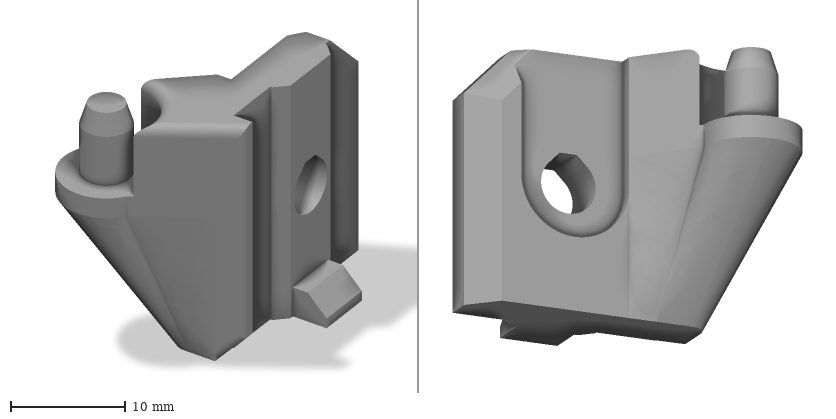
import cadquery as cq
import math

HEIGHT = 24.0

PLATE_FRONT = 5.47
PLATE_BACK = 10.45
PLATE_START = 9.25
PLATE_END = 24.0
EDGE_CHAMFER = 2.5
TOP_CHAMFER = 4.5

POCKET_DEPTH = 1.45
POCKET_RADIUS = 5.2
POCKET_Y = PLATE_START + POCKET_RADIUS
HOLE_Z = 11.97
HOLE_RADIUS = 2.62
TEARDROP_RISE = 2.88

RAIL_BACK = 11.83
RAIL_HALF_WIDTH = 4.28
RAIL_STEP = 0.23
LATCH_END = 15.4
LATCH_HEIGHT = 3.0
LATCH_CHAMFER = 2
LATCH_WIDTH = 5.53

SEAT_RADIUS = 4.5
SEAT_TOP = 16.87
SEAT_BOTTOM = 14.85
PIN_RADIUS = 2.4
PIN_TIP_RADIUS = 1.75
PIN_TIP_LENGTH = 2.08
CLEARANCE_RADIUS = 4.8
ARM_FILLET = 1.0

SEAT_LEFT_X = 0.15
SEAT_RIGHT_X = 3.75
SEAT_LEFT = (SEAT_LEFT_X, math.sqrt(SEAT_RADIUS**2 - SEAT_LEFT_X**2))
SEAT_RIGHT = (SEAT_RIGHT_X, -math.sqrt(SEAT_RADIUS**2 - SEAT_RIGHT_X**2))
WING_TIP = (12.43, 3.02)
WING_BACK = 4.42
WING_NOTCH = 0.15
WING_CHAMFER = 2.2
EDGE_SLOPE = (WING_TIP[0] - SEAT_RIGHT[0]) / (WING_TIP[1] - SEAT_RIGHT[1])

FOOT_Y = 1.68
FOOT_LEFT_Y = 6.67
FOOT_RIGHT_X = 7.47
FOOT_RADIUS = 1.57


def edge_x(y):
    """X on the slanted front edge of the arm at a given Y."""
    return SEAT_RIGHT[0] + EDGE_SLOPE * (y - SEAT_RIGHT[1])


def near_edge(x, y, z):
    """Selector for the edge whose centre is nearest to a point."""
    return cq.selectors.NearestToPointSelector((x, y, z))


def make_plate():
    """Plate with a bevelled far top corner and chamfered front edges there."""
    bevel_y = PLATE_END - TOP_CHAMFER
    bevel_z = HEIGHT - TOP_CHAMFER
    plate = (
        cq.Workplane("YZ", origin=(PLATE_FRONT, 0, 0))
        .moveTo(PLATE_START, 0)
        .lineTo(PLATE_END, 0)
        .lineTo(PLATE_END, bevel_z)
        .lineTo(bevel_y, HEIGHT)
        .lineTo(PLATE_START, HEIGHT)
        .close()
        .extrude(PLATE_BACK - PLATE_FRONT)
    )
    far_edge = near_edge(PLATE_FRONT, PLATE_END, bevel_z / 2)
    bevel_edge = near_edge(PLATE_FRONT, (PLATE_END + bevel_y) / 2, (HEIGHT + bevel_z) / 2)
    return plate.edges(far_edge + bevel_edge).chamfer(EDGE_CHAMFER)


def make_pocket():
    straight_height = HEIGHT - HOLE_Z
    slot = (
        cq.Workplane("YZ", origin=(PLATE_FRONT, POCKET_Y, HOLE_Z))
        .circle(POCKET_RADIUS)
        .extrude(POCKET_DEPTH)
    )
    opening = cq.Workplane("XY").box(
        POCKET_DEPTH, 2 * POCKET_RADIUS, straight_height, centered=(False, True, False)
    )
    return slot.union(opening.translate((PLATE_FRONT, POCKET_Y, HOLE_Z)))


def make_hole():
    """Round hole with a 45 degree teardrop roof cut flat at the top."""
    tangent = HOLE_RADIUS * math.sqrt(0.5)
    half_flat = 2 * tangent - TEARDROP_RISE
    return (
        cq.Workplane("YZ", origin=(0, POCKET_Y, HOLE_Z))
        .moveTo(tangent, tangent)
        .lineTo(half_flat, TEARDROP_RISE)
        .lineTo(-half_flat, TEARDROP_RISE)
        .lineTo(-tangent, tangent)
        .threePointArc((0, -HOLE_RADIUS), (tangent, tangent))
        .close()
        .extrude(LATCH_END)
    )


def make_rail():
    slope_start = PLATE_BACK + RAIL_STEP
    top_half_width = RAIL_HALF_WIDTH - (RAIL_BACK - slope_start)
    return (
        cq.Workplane("XY", origin=(0, POCKET_Y, 0))
        .moveTo(PLATE_BACK, -RAIL_HALF_WIDTH)
        .lineTo(slope_start, -RAIL_HALF_WIDTH)
        .lineTo(RAIL_BACK, -top_half_width)
        .lineTo(RAIL_BACK, top_half_width)
        .lineTo(slope_start, RAIL_HALF_WIDTH)
        .lineTo(PLATE_BACK, RAIL_HALF_WIDTH)
        .close()
        .extrude(HEIGHT)
    )


def make_latch():
    return (
        cq.Workplane("XZ", origin=(0, POCKET_Y, 0))
        .moveTo(PLATE_BACK, 0)
        .lineTo(LATCH_END, 0)
        .lineTo(LATCH_END, LATCH_HEIGHT - LATCH_CHAMFER)
        .lineTo(LATCH_END - LATCH_CHAMFER, LATCH_HEIGHT)
        .lineTo(PLATE_BACK, LATCH_HEIGHT)
        .close()
        .extrude(LATCH_WIDTH / 2, both=True)
    )


def make_arm():
    """Arm and wing with rounded outer edges, hollowed around the pin."""
    arm = (
        cq.Workplane("XY")
        .moveTo(PLATE_FRONT, PLATE_START)
        .lineTo(*SEAT_LEFT)
        .lineTo(*SEAT_RIGHT)
        .lineTo(*WING_TIP)
        .lineTo(WING_TIP[0], WING_BACK)
        .lineTo(PLATE_BACK + WING_NOTCH, WING_BACK)
        .lineTo(PLATE_BACK - WING_NOTCH, WING_BACK - WING_NOTCH)
        .lineTo(PLATE_BACK, WING_BACK)
        .lineTo(PLATE_BACK, PLATE_START)
        .close()
        .extrude(HEIGHT)
    )
    wing_underside = (
        cq.Workplane("XZ")
        .moveTo(WING_TIP[0], 0)
        .lineTo(WING_TIP[0], WING_CHAMFER)
        .lineTo(WING_TIP[0] - WING_CHAMFER, 0)
        .close()
        .extrude(-WING_BACK)
    )
    clearance = (
        cq.Workplane("XY", origin=(0, 0, SEAT_TOP))
        .circle(CLEARANCE_RADIUS)
        .extrude(HEIGHT - SEAT_TOP)
    )
    arm = arm.cut(wing_underside).cut(clearance)

    underside_x = WING_TIP[0] - WING_CHAMFER / 2
    underside_y = WING_TIP[1] - (WING_TIP[0] - underside_x) / EDGE_SLOPE
    clearance_middle = CLEARANCE_RADIUS * math.sqrt(0.5)
    rounded_edges = (
        near_edge(*WING_TIP, (HEIGHT + WING_CHAMFER) / 2)
        + near_edge(underside_x, underside_y, WING_CHAMFER / 2)
        + near_edge(edge_x(FOOT_Y), FOOT_Y, HEIGHT)
        + near_edge(clearance_middle, clearance_middle, HEIGHT)
    )
    arm = arm.edges(rounded_edges).fillet(ARM_FILLET)

    space_below = cq.Workplane("XY").box(
        edge_x(FOOT_Y) + SEAT_RADIUS,
        PLATE_START + SEAT_RADIUS,
        SEAT_BOTTOM,
        centered=False,
    )
    return arm.cut(space_below.translate((-SEAT_RADIUS, -SEAT_RADIUS, 0)))


def arc_middle(start, end):
    """Point on the seat circle halfway between two of its points."""
    x = start[0] + end[0]
    y = start[1] + end[1]
    scale = SEAT_RADIUS / math.hypot(x, y)
    return (x * scale, y * scale)


def make_support():
    """Tapered support blending the round seat into a corner-rounded foot."""
    seat_west = (-SEAT_RADIUS, 0)
    seat_south = (0, -SEAT_RADIUS)
    inset = FOOT_RADIUS * (1 - math.sqrt(0.5))
    foot = (
        cq.Workplane("XY")
        .moveTo(PLATE_FRONT, PLATE_START)
        .lineTo(PLATE_FRONT, FOOT_LEFT_Y)
        .lineTo(PLATE_FRONT, FOOT_Y + FOOT_RADIUS)
        .threePointArc(
            (PLATE_FRONT + inset, FOOT_Y + inset),
            (PLATE_FRONT + FOOT_RADIUS, FOOT_Y),
        )
        .lineTo(FOOT_RIGHT_X, FOOT_Y)
        .lineTo(edge_x(FOOT_Y), FOOT_Y)
        .lineTo(PLATE_BACK, PLATE_START)
        .close()
    )
    seat = (
        cq.Workplane("XY", origin=(0, 0, SEAT_BOTTOM))
        .moveTo(PLATE_FRONT, PLATE_START)
        .lineTo(*SEAT_LEFT)
        .threePointArc(arc_middle(SEAT_LEFT, seat_west), seat_west)
        .threePointArc(arc_middle(seat_west, seat_south), seat_south)
        .threePointArc(arc_middle(seat_south, SEAT_RIGHT), SEAT_RIGHT)
        .lineTo(edge_x(FOOT_Y), FOOT_Y)
        .lineTo(PLATE_BACK, PLATE_START)
        .close()
    )
    solid = cq.Solid.makeLoft([foot.val(), seat.val()], True)
    return cq.Workplane("XY").add(solid)


def make_seat_and_pin():
    seat = (
        cq.Workplane("XY", origin=(0, 0, SEAT_BOTTOM))
        .circle(SEAT_RADIUS)
        .extrude(SEAT_TOP - SEAT_BOTTOM)
    )
    pin = (
        cq.Workplane("XZ")
        .moveTo(0, SEAT_BOTTOM)
        .lineTo(PIN_RADIUS, SEAT_BOTTOM)
        .lineTo(PIN_RADIUS, HEIGHT - PIN_TIP_LENGTH)
        .lineTo(PIN_TIP_RADIUS, HEIGHT)
        .lineTo(0, HEIGHT)
        .close()
        .revolve(360, (0, 0, 0), (0, 1, 0))
    )
    return seat.union(pin)


result = (
    make_plate()
    .union(make_rail())
    .union(make_latch())
    .union(make_arm())
    .union(make_support())
    .cut(make_pocket())
    .cut(make_hole())
    .union(make_seat_and_pin())
)